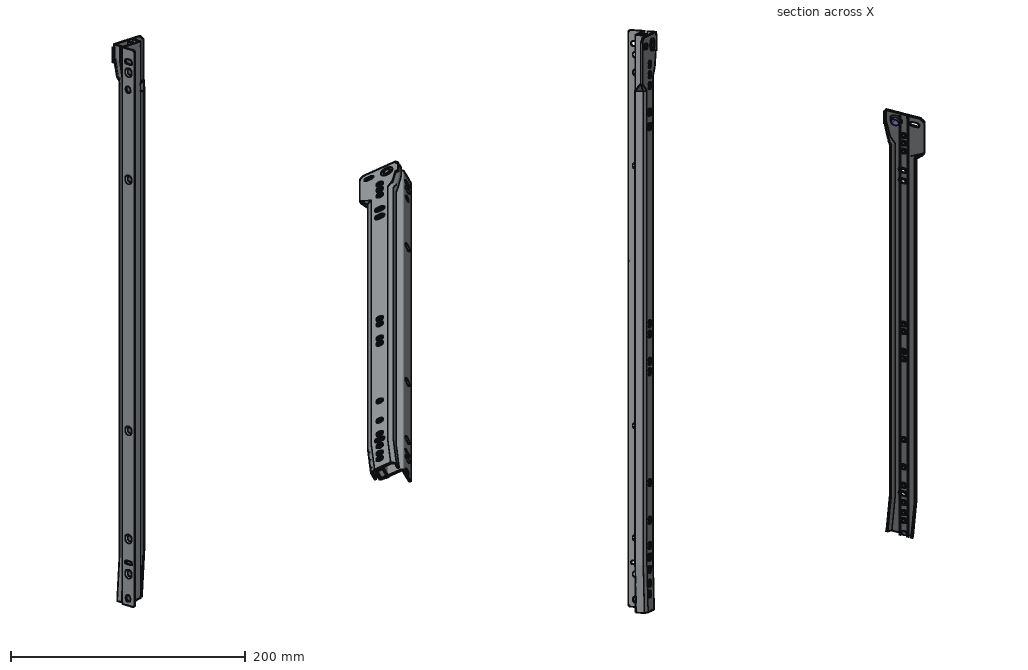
import cadquery as cq

SHEET = 1.5
TOP_Z = 250.0
END_Z = -249.0
OVERCUT = 1.0

WEB_X = -12.75
WEB_INNER_X = WEB_X + SHEET
LEG_END_X = -4.75
LEFT_LEG_END_X = -3.5
INNER_FOLD_SHIFT = 0.5
LEFT_STRIP_X = -11.0
RIGHT_STRIP_X = -10.0
LEFT_FOLD_Y, LEFT_LEG_Y = 7.0, 11.5
RIGHT_FOLD_Y, RIGHT_LEG_Y = -8.5, -12.5
END_TAPER_Z = -207.0
END_SHIFT_Y = -3.0

EAR_Y = 18.25
EAR_BOTTOM_Z = 210.0
EAR_SLOPE_Z = 203.0
EAR_CORNER = 3.5
EAR_RIM = 0.5
EAR_SLOT = (9.5, 241.5)
EAR_SLOT_SIZE = (9.0, 5.0)

TAB_Y = -18.25
TAB_ROOT_Y = -16.0
TAB_LOW_Z, TAB_HIGH_Z = 234.0, 247.5

FLARE_Y = -17.5
FLARE_FOLD_Y = -16.5
FLARE_STRIP_X = -8.0
FLARE_TOP_Z, FLARE_MID_Z, FLARE_END_Z = 237.0, 220.0, 213.0
FLARE_MID_FOLD_Y, FLARE_MID_Y = -13.0, -14.5

ROLLER_Y, ROLLER_Z = -7.5, 240.5
ROLLER_RADIUS = 3.75
ROLLER_END_X = -5.0
RIVET_RING_DIA, RIVET_HEAD_DIA = 11.0, 6.5
RIVET_RECESS = 0.5

SCREW_Y = -0.75
SCREW_DIA, SCREW_SINK_DIA = 3.5, 6.5
SCREW_Z = (224.5, 215.5, 206.0, 0.0, -9.0, -32.5, -41.5, -137.5, -170.0, -192.0, -212.5, -224.5, -234.0)
WEB_SLOT_Z = (183.0, 170.5, -202.0)
WEB_SLOT_SIZE = (9.0, 6.0)
WEB_SLOT_HOLE_DIA = 4.5
SINK_DEPTH = 0.75

RAIL_X = -2.5
FLANGE_END_X = 12.75
FLANGE_Y = -18.0
BEND_RADIUS = 2.0
RAIL_TOP_Y = 5.0
TRACK_LOW_Y = -3.5
UPPER_TRACK_X, LOWER_TRACK_X = -9.5, -9.0
TRACK_BEND = 1.25
FLANGE_CORNER = 1.5
TONGUE_Y, TONGUE_RADIUS = -2.0, 4.0
TONGUE_TIP_Z = -250.0
GUIDE_X, GUIDE_Y, GUIDE_Z = -9.5, 1.0, -246.0
GUIDE_RADIUS = 2.5

MOUNT_X = 6.0
MOUNT_DIA, MOUNT_SINK_DIA = 5.0, 8.0
MOUNT_SUNK_Z = (229.0, 133.0, -92.0, -189.0, -220.5)
PLAIN_DIA = 6.0
PLAIN_HOLES = ((5.5, 213.5), (5.5, -242.5))
FLANGE_SLOTS = ((238.5, 8.5, 4.5), (-210.5, 8.5, 3.0))


def half_channel(z, fold_y, leg_y, strip_x, leg_end_x):
    """Section from mid-web through the slanted strip to the end of one leg."""
    side = 1 if leg_y > 0 else -1
    inner_leg_y = leg_y - side * SHEET
    inner_fold_y = fold_y - side * INNER_FOLD_SHIFT
    points = [
        (WEB_X, 0), (WEB_X, fold_y), (strip_x, leg_y), (leg_end_x, leg_y),
        (leg_end_x, inner_leg_y), (strip_x + INNER_FOLD_SHIFT, inner_leg_y),
        (WEB_INNER_X, inner_fold_y), (WEB_INNER_X, 0),
    ]
    return cq.Wire.makePolygon([cq.Vector(x, y, z) for x, y in points], close=True)


def sheet_through(stations):
    """Straight-sided sheet through a row of half-channel sections."""
    wires = [half_channel(*station) for station in stations]
    body = None
    for lower, upper in zip(wires, wires[1:]):
        piece = cq.Workplane(cq.Solid.makeLoft([lower, upper], True))
        body = piece if body is None else body.union(piece)
    return body


def web_plane(depth=0.0):
    """Sketch plane on the web, with local axes Y and Z and the normal along +X."""
    return cq.Workplane("YZ", origin=(WEB_X + depth, 0, 0))


def make_ear():
    height = TOP_Z - EAR_BOTTOM_Z
    ear = (
        web_plane()
        .center(EAR_Y / 2, EAR_BOTTOM_Z + height / 2)
        .rect(EAR_Y, height)
        .extrude(SHEET)
    )
    ear = ear.edges("|X and >Y and >Z").chamfer(EAR_CORNER)
    slot = web_plane(-OVERCUT).center(*EAR_SLOT).slot2D(*EAR_SLOT_SIZE).extrude(SHEET + 2 * OVERCUT)
    return ear.cut(slot)


def make_tab():
    """Small tab in the plane of the web on the side away from the ear."""
    return (
        web_plane()
        .center((TAB_Y + TAB_ROOT_Y) / 2, (TAB_LOW_Z + TAB_HIGH_Z) / 2)
        .rect(TAB_ROOT_Y - TAB_Y, TAB_HIGH_Z - TAB_LOW_Z)
        .extrude(SHEET)
    )


def add_roller(runner):
    """Roller behind the web, with its riveted head set in a ring-shaped recess."""
    roller = (
        web_plane(SHEET / 2).center(ROLLER_Y, ROLLER_Z).circle(ROLLER_RADIUS)
        .extrude(ROLLER_END_X - WEB_X - SHEET / 2)
    )
    ring = (
        web_plane().center(ROLLER_Y, ROLLER_Z)
        .circle(RIVET_RING_DIA / 2).circle(RIVET_HEAD_DIA / 2)
        .extrude(RIVET_RECESS)
    )
    return runner.union(roller).cut(ring)


def cut_web_holes(runner):
    screws = [(SCREW_Y, z) for z in SCREW_Z]
    slots = [(SCREW_Y, z) for z in WEB_SLOT_Z]
    runner = runner.cut(web_plane().pushPoints(screws).circle(SCREW_SINK_DIA / 2).extrude(SINK_DEPTH))
    runner = runner.cut(web_plane().pushPoints(screws).circle(SCREW_DIA / 2).extrude(SHEET + OVERCUT))
    runner = runner.cut(web_plane().pushPoints(slots).slot2D(*WEB_SLOT_SIZE).extrude(SINK_DEPTH))
    return runner.cut(web_plane().pushPoints(slots).circle(WEB_SLOT_HOLE_DIA / 2).extrude(SHEET + OVERCUT))


def make_runner():
    left = sheet_through([
        (END_Z, LEFT_FOLD_Y + END_SHIFT_Y, LEFT_LEG_Y + END_SHIFT_Y, LEFT_STRIP_X, LEFT_LEG_END_X),
        (END_TAPER_Z, LEFT_FOLD_Y, LEFT_LEG_Y, LEFT_STRIP_X, LEFT_LEG_END_X),
        (EAR_SLOPE_Z, LEFT_FOLD_Y, LEFT_LEG_Y, LEFT_STRIP_X, LEFT_LEG_END_X),
        (EAR_BOTTOM_Z, EAR_Y - EAR_RIM, EAR_Y, WEB_INNER_X, WEB_INNER_X + 2 * EAR_RIM),
    ])
    right = sheet_through([
        (END_Z, RIGHT_FOLD_Y + END_SHIFT_Y, RIGHT_LEG_Y + END_SHIFT_Y, RIGHT_STRIP_X, LEG_END_X),
        (END_TAPER_Z, RIGHT_FOLD_Y, RIGHT_LEG_Y, RIGHT_STRIP_X, LEG_END_X),
        (FLARE_END_Z, RIGHT_FOLD_Y, RIGHT_LEG_Y, RIGHT_STRIP_X, LEG_END_X),
        (FLARE_MID_Z, FLARE_MID_FOLD_Y, FLARE_MID_Y, FLARE_STRIP_X, LEG_END_X),
        (FLARE_TOP_Z, FLARE_FOLD_Y, FLARE_Y, FLARE_STRIP_X, LEG_END_X),
        (TOP_Z, FLARE_FOLD_Y, FLARE_Y, FLARE_STRIP_X, LEG_END_X),
    ])
    sheet = left.union(right).union(make_ear()).union(make_tab())
    return cut_web_holes(add_roller(sheet))


def bar(x_min, x_max, y_min, y_max):
    """Rectangular bar over the full length of the rail."""
    return cq.Workplane("XY").box(
        x_max - x_min, y_max - y_min, TOP_Z - END_Z, centered=False
    ).translate((x_min, y_min, END_Z))


def make_rail_profile():
    back_x = RAIL_X + SHEET
    flange_inner_y = FLANGE_Y + SHEET
    angle = bar(RAIL_X, back_x, FLANGE_Y, RAIL_TOP_Y).union(bar(RAIL_X, FLANGE_END_X, FLANGE_Y, flange_inner_y))
    angle = angle.edges("|Z and <X and <Y").fillet(BEND_RADIUS)
    upper = bar(UPPER_TRACK_X, back_x, RAIL_TOP_Y - SHEET, RAIL_TOP_Y)
    lower = bar(LOWER_TRACK_X, back_x, TRACK_LOW_Y, TRACK_LOW_Y + SHEET)
    profile = angle.union(upper).union(lower)
    outer_corner = cq.selectors.NearestToPointSelector((back_x, RAIL_TOP_Y, 0))
    inner_corner = cq.selectors.NearestToPointSelector((RAIL_X, TRACK_LOW_Y, 0))
    profile = profile.edges("|Z").edges(outer_corner).fillet(TRACK_BEND)
    profile = profile.edges("|Z").edges(inner_corner).fillet(TRACK_BEND)
    return profile.edges("|Y and >X").chamfer(FLANGE_CORNER)


def make_tongue():
    """Round end of the rail web, standing a little below the profile."""
    return (
        cq.Workplane("YZ", origin=(RAIL_X, 0, 0))
        .center(TONGUE_Y, TONGUE_TIP_Z + TONGUE_RADIUS)
        .circle(TONGUE_RADIUS)
        .extrude(SHEET)
    )


def make_guide_roller():
    """Roller between the tracks at the lower end, standing on the rail web."""
    return (
        cq.Workplane("YZ", origin=(GUIDE_X, 0, 0))
        .center(GUIDE_Y, GUIDE_Z)
        .circle(GUIDE_RADIUS)
        .extrude(RAIL_X + SHEET / 2 - GUIDE_X)
    )


def flange_plane():
    """Sketch plane inside the flange, with local axes X and Z and the normal along -Y."""
    return cq.Workplane("XZ", origin=(0, FLANGE_Y + SHEET + OVERCUT, 0))


def cut_flange_holes(rail):
    through = SHEET + 2 * OVERCUT
    for z in MOUNT_SUNK_Z:
        rail = rail.cut(flange_plane().center(MOUNT_X, z).circle(MOUNT_DIA / 2).extrude(through))
        sink = (
            cq.Workplane("XZ", origin=(MOUNT_X, FLANGE_Y, z)).circle(MOUNT_SINK_DIA / 2)
            .workplane(offset=-SHEET).circle(MOUNT_DIA / 2).loft()
        )
        rail = rail.cut(sink)
    rail = rail.cut(flange_plane().pushPoints(PLAIN_HOLES).circle(PLAIN_DIA / 2).extrude(through))
    for z, length, width in FLANGE_SLOTS:
        rail = rail.cut(flange_plane().center(MOUNT_X, z).slot2D(length, width).extrude(through))
    return rail


runner = make_runner()
rail = cut_flange_holes(make_rail_profile().union(make_tongue()).union(make_guide_roller()))

result = cq.Compound.makeCompound([runner.solids().val(), rail.solids().val()])